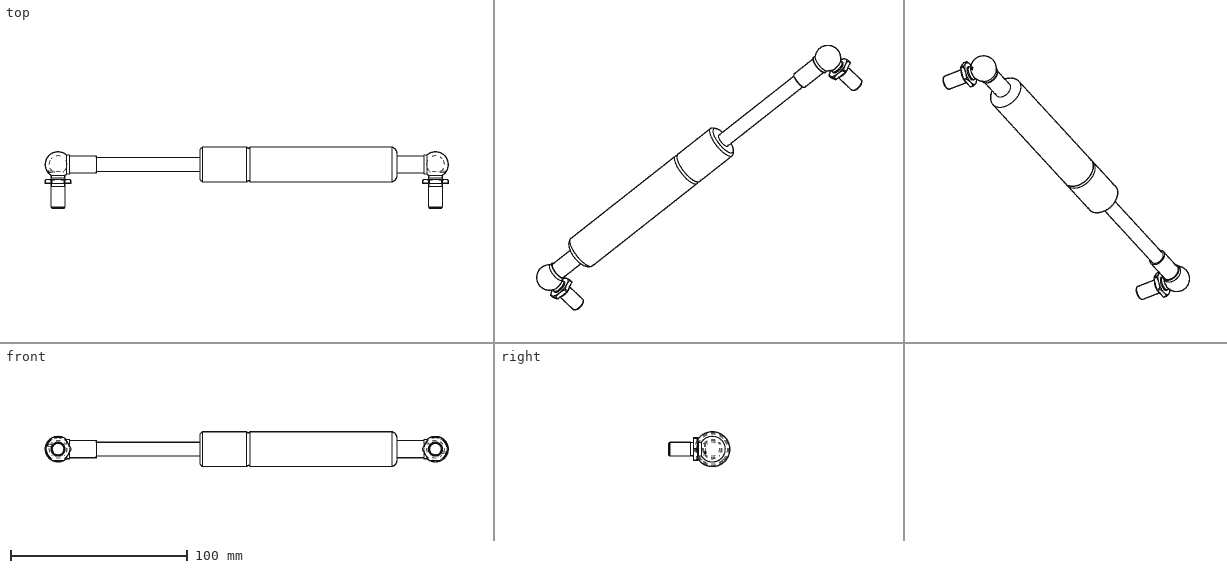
import cadquery as cq
import math

OVERALL_LENGTH = 228.1
OVERALL_DEPTH = 34.7
CYLINDER_DIAMETER = 19.8
CYLINDER_RADIUS = CYLINDER_DIAMETER / 2
ROD_DIAMETER = 8.0
ROD_RADIUS = ROD_DIAMETER / 2

HEX_ACROSS_FLATS = 13.0
HEX_CORNER_RADIUS = 7.3
HEX_THICKNESS = 2.3
HEX_TOP_Y = -8.5
HEX_CHAMFER_ANGLE = math.radians(30)
JOINT_X = OVERALL_LENGTH / 2 - HEX_CORNER_RADIUS

STUD_BALL_RADIUS = 5.0
STUD_NECK_RADIUS = 3.2
SHANK_DIAMETER = 8.0
SHANK_RADIUS = SHANK_DIAMETER / 2
SHOULDER_HEIGHT = 0.7
THREAD_RELIEF_DEPTH = 0.11
THREAD_START_Y = -12.3
STUD_END_Y = CYLINDER_RADIUS - OVERALL_DEPTH
STUD_END_CHAMFER = 0.7

SOCKET_RADIUS = 7.3
SOCKET_COLLAR_RADIUS = 5.5
SOCKET_COLLAR_LENGTH = 6.6
SOCKET_MOUTH_Y = -6.2
SOCKET_NECK_DIAMETER = 9.8
SOCKET_NECK_RADIUS = SOCKET_NECK_DIAMETER / 2
SOCKET_END_X = 85.0

PINHOLE_DIAMETER = 0.98
PINHOLE_Y = -4.0
PINHOLE_Z = 2.0

CYLINDER_START_X = -26.5
CYLINDER_START_CHAMFER = 1.4
CYLINDER_ROUND_LENGTH = 3.0
CYLINDER_ROUND_DROP = 3.9
CYLINDER_ROUND_BULGE = 0.8
GROOVE_CENTER_X = 1.0
GROOVE_HALF_WIDTH = 1.0
GROOVE_DEPTH = 0.7


def make_spring():
    """Cylinder with a rolled groove, and the rod leaving its -X end."""
    rounded_start_x = SOCKET_END_X - CYLINDER_ROUND_LENGTH
    end_radius = CYLINDER_RADIUS - CYLINDER_ROUND_DROP
    round_chord = math.hypot(CYLINDER_ROUND_LENGTH, CYLINDER_ROUND_DROP)
    bulge_x = CYLINDER_ROUND_BULGE * CYLINDER_ROUND_DROP / round_chord
    bulge_r = CYLINDER_ROUND_BULGE * CYLINDER_ROUND_LENGTH / round_chord
    return (
        cq.Workplane("XY")
        .moveTo(-SOCKET_END_X, 0)
        .lineTo(-SOCKET_END_X, ROD_RADIUS)
        .lineTo(CYLINDER_START_X, ROD_RADIUS)
        .lineTo(CYLINDER_START_X, CYLINDER_RADIUS - CYLINDER_START_CHAMFER)
        .lineTo(CYLINDER_START_X + CYLINDER_START_CHAMFER, CYLINDER_RADIUS)
        .lineTo(GROOVE_CENTER_X - GROOVE_HALF_WIDTH, CYLINDER_RADIUS)
        .threePointArc(
            (GROOVE_CENTER_X, CYLINDER_RADIUS - GROOVE_DEPTH),
            (GROOVE_CENTER_X + GROOVE_HALF_WIDTH, CYLINDER_RADIUS),
        )
        .lineTo(rounded_start_x, CYLINDER_RADIUS)
        .threePointArc(
            (
                rounded_start_x + CYLINDER_ROUND_LENGTH / 2 + bulge_x,
                end_radius + CYLINDER_ROUND_DROP / 2 + bulge_r,
            ),
            (SOCKET_END_X, end_radius),
        )
        .lineTo(SOCKET_END_X, 0)
        .close()
        .revolve(360, (0, 0), (1, 0))
    )


def make_hex_collar():
    """Hexagon with corners on X, trimmed to a circle and chamfered on top."""
    across_corners = HEX_ACROSS_FLATS * 2 / math.sqrt(3)
    collar = (
        cq.Workplane("XZ", origin=(0, HEX_TOP_Y, 0))
        .polygon(6, across_corners)
        .extrude(HEX_THICKNESS)
    )
    top_radius = HEX_ACROSS_FLATS / 2
    bottom_y = HEX_TOP_Y - HEX_THICKNESS
    chamfer_end_y = HEX_TOP_Y - (HEX_CORNER_RADIUS - top_radius) * math.tan(HEX_CHAMFER_ANGLE)
    trim = (
        cq.Workplane("XY")
        .moveTo(0, HEX_TOP_Y)
        .lineTo(top_radius, HEX_TOP_Y)
        .lineTo(HEX_CORNER_RADIUS, chamfer_end_y)
        .lineTo(HEX_CORNER_RADIUS, bottom_y)
        .lineTo(0, bottom_y)
        .close()
        .revolve(360, (0, 0), (0, 1))
    )
    return collar.intersect(trim)


def make_stud():
    """Ball stud about the Y axis, with the ball center at the origin."""
    neck_start_y = -math.sqrt(STUD_BALL_RADIUS**2 - STUD_NECK_RADIUS**2)
    relief_radius = SHANK_RADIUS - THREAD_RELIEF_DEPTH
    stem = (
        cq.Workplane("XY")
        .moveTo(0, STUD_BALL_RADIUS)
        .threePointArc((STUD_BALL_RADIUS, 0), (STUD_NECK_RADIUS, neck_start_y))
        .lineTo(STUD_NECK_RADIUS, SOCKET_MOUTH_Y)
        .lineTo(relief_radius, SOCKET_MOUTH_Y)
        .lineTo(relief_radius, HEX_TOP_Y + SHOULDER_HEIGHT)
        .lineTo(SHANK_RADIUS, HEX_TOP_Y + SHOULDER_HEIGHT)
        .lineTo(SHANK_RADIUS, HEX_TOP_Y)
        .lineTo(relief_radius, HEX_TOP_Y)
        .lineTo(relief_radius, THREAD_START_Y)
        .lineTo(SHANK_RADIUS, THREAD_START_Y)
        .lineTo(SHANK_RADIUS, STUD_END_Y + STUD_END_CHAMFER)
        .lineTo(SHANK_RADIUS - STUD_END_CHAMFER, STUD_END_Y)
        .lineTo(0, STUD_END_Y)
        .close()
        .revolve(360, (0, 0), (0, 1))
    )
    return stem.union(make_hex_collar())


def make_socket(stud):
    """Spherical socket with a neck toward +X, fitted around the stud ball."""
    neck = (
        cq.Workplane("XY")
        .moveTo(0, 0)
        .lineTo(0, SOCKET_COLLAR_RADIUS)
        .lineTo(SOCKET_COLLAR_LENGTH, SOCKET_COLLAR_RADIUS)
        .lineTo(SOCKET_COLLAR_LENGTH, SOCKET_NECK_RADIUS)
        .lineTo(JOINT_X - SOCKET_END_X, SOCKET_NECK_RADIUS)
        .lineTo(JOINT_X - SOCKET_END_X, 0)
        .close()
        .revolve(360, (0, 0), (1, 0))
    )
    pinhole = (
        cq.Workplane("YZ")
        .center(PINHOLE_Y, PINHOLE_Z)
        .circle(PINHOLE_DIAMETER / 2)
        .extrude(-SOCKET_RADIUS)
    )
    mouth_radius = math.sqrt(SOCKET_RADIUS**2 - SOCKET_MOUTH_Y**2)
    ball = (
        cq.Workplane("YZ")
        .moveTo(SOCKET_RADIUS, 0)
        .threePointArc((0, SOCKET_RADIUS), (SOCKET_MOUTH_Y, mouth_radius))
        .lineTo(SOCKET_MOUTH_Y, 0)
        .close()
        .revolve(360, (0, 0), (1, 0))
    )
    return ball.union(neck).cut(pinhole).cut(stud)


spring = make_spring()

stud = make_stud()
studs = [stud.translate((x, 0, 0)) for x in (-JOINT_X, JOINT_X)]

socket = make_socket(stud)
sockets = [
    socket.rotate((0, 0, 0), (0, 1, 0), angle).translate((x, 0, 0))
    for x, angle in ((-JOINT_X, 0), (JOINT_X, 180))
]

result = cq.Compound.makeCompound([spring.val(), *[s.val() for s in sockets + studs]])